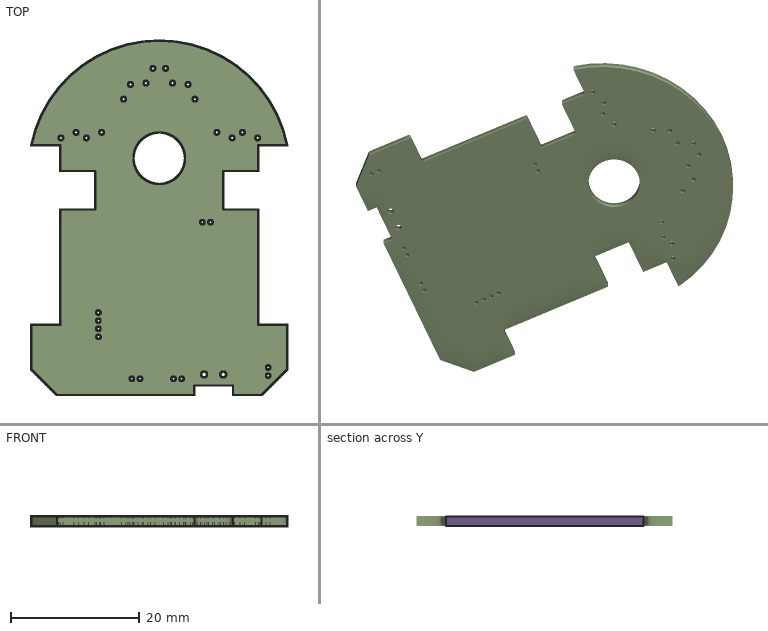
import cadquery as cq
import math

thickness = 1.6
nose_radius = 20.4
half_width = 20.0
body_half_width = 15.5
rear_y = -35.0
nose_corner_y = math.sqrt(nose_radius**2 - half_width**2)

cutout_half_width = 10.0
cutout_front_y = 0.0
cutout_rear_y = -6.0

tail_front_y = -24.0
tail_chamfer = 4.0

notch_center_x = 8.5
notch_width = 6.0
notch_depth = 1.5

opening_diameter = 8.0
opening_y = 2.0

sensor_hole_diameter = 0.7
sensor_leads = 2
sensor_pitch = 2.54
wing_angle = -20.0
front_angle = -65.0
sensor_pairs = [
    (14.18, 5.61, wing_angle),
    (10.19, 5.61, wing_angle),
    (5.03, 12.37, front_angle),
    (1.54, 14.88, front_angle),
]

header_hole_diameter = 0.65
header_pitch = 1.27
along_x = 0.0
along_y = 90.0
header_rows = [
    (7.37, -8.0, along_x, 2),
    (-9.5, -24.0, along_y, 4),
    (-3.64, -32.45, along_x, 2),
    (2.86, -32.45, along_x, 2),
    (17.0, -31.32, along_y, 2),
]

power_hole_diameter = 0.9
power_hole_count = 2
power_pitch = 3.0
power_hole_y = -31.77


def row_points(center_x, center_y, angle, count, pitch):
    """Evenly spaced points on a line through the given midpoint."""
    direction_x = math.cos(math.radians(angle))
    direction_y = math.sin(math.radians(angle))
    offsets = [(i - (count - 1) / 2) * pitch for i in range(count)]
    return [(center_x + d * direction_x, center_y + d * direction_y) for d in offsets]


def make_board():
    """Plate with the nose arc, side cutouts and chamfered tail."""
    right_side = [
        (half_width, nose_corner_y),
        (body_half_width, nose_corner_y),
        (body_half_width, cutout_front_y),
        (cutout_half_width, cutout_front_y),
        (cutout_half_width, cutout_rear_y),
        (body_half_width, cutout_rear_y),
        (body_half_width, tail_front_y),
        (half_width, tail_front_y),
        (half_width, rear_y + tail_chamfer),
        (half_width - tail_chamfer, rear_y),
    ]
    left_side = [(-x, y) for x, y in reversed(right_side)]
    outline = cq.Workplane("XY").polyline(right_side + left_side)
    outline = outline.threePointArc((0, nose_radius), right_side[0]).close()
    return outline.extrude(thickness)


def make_notch():
    """Block that cuts the notch into the rear edge."""
    return (
        cq.Workplane("XY")
        .center(notch_center_x, rear_y + notch_depth / 2)
        .rect(notch_width, notch_depth)
        .extrude(thickness)
    )


def make_pins(points, diameter):
    """Round cutters through the full thickness."""
    return cq.Workplane("XY").pushPoints(points).circle(diameter / 2).extrude(thickness)


sensor_points = []
for pair_x, pair_y, pair_angle in sensor_pairs:
    for x, y in row_points(pair_x, pair_y, pair_angle, sensor_leads, sensor_pitch):
        sensor_points += [(x, y), (-x, y)]

header_points = []
for row_x, row_y, row_angle, hole_count in header_rows:
    header_points += row_points(row_x, row_y, row_angle, hole_count, header_pitch)

power_points = row_points(notch_center_x, power_hole_y, along_x, power_hole_count, power_pitch)

result = (
    make_board()
    .cut(make_notch())
    .cut(make_pins([(0, opening_y)], opening_diameter))
    .cut(make_pins(sensor_points, sensor_hole_diameter))
    .cut(make_pins(header_points, header_hole_diameter))
    .cut(make_pins(power_points, power_hole_diameter))
)